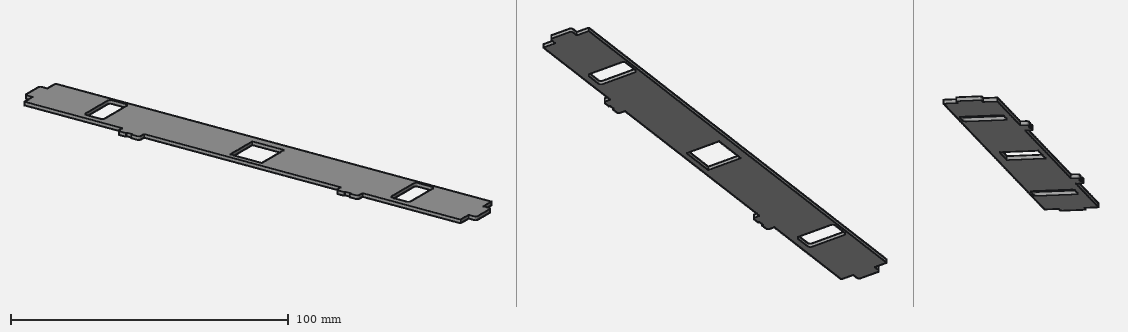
import cadquery as cq

overall_length = 196.5
thickness = 1.5
end_tab_projection = 3.3
edge_tab_projection = 3.0
body_length = overall_length - 2 * end_tab_projection
body_width = 19.8

tab_width = 9.5
tab_corner_radius = 1.0
edge_tab_offset = 47.5
notch_width = 2.4
notch_depth = 0.5

side_window_length = 8.3
side_window_width = 16.1
side_window_radius = 1.2
side_window_offset = 66.6
side_window_y = 0.8
center_window_length = 13.8
center_window_width = 14.1
center_window_y = -0.5

part_shift_y = edge_tab_projection / 2


def block(length, width, x, y):
    """Full-thickness block centered on (x, y)."""
    return cq.Workplane("XY").box(length, width, thickness).translate((x, y, 0))


def end_tab(side):
    """Rounded tab on the -X (side = -1) or +X (side = 1) end."""
    x = side * (body_length + end_tab_projection) / 2
    outer_face = ">X" if side > 0 else "<X"
    tab = block(end_tab_projection, tab_width, x, 0)
    return tab.faces(outer_face).edges("|Z").fillet(tab_corner_radius)


def edge_tab(x):
    """Rounded tab on the -Y edge with a shallow notch in its tip."""
    y = -(body_width + edge_tab_projection) / 2
    tab = block(tab_width, edge_tab_projection, x, y)
    tab = tab.faces("<Y").edges("|Z").fillet(tab_corner_radius)
    tip_y = -body_width / 2 - edge_tab_projection
    return tab.cut(block(notch_width, notch_depth, x, tip_y + notch_depth / 2))


def side_window(x):
    """Rectangular window with rounded corners."""
    window = block(side_window_length, side_window_width, x, side_window_y)
    return window.edges("|Z").fillet(side_window_radius)


plate = block(body_length, body_width, 0, 0)
for side in (-1, 1):
    plate = plate.union(end_tab(side))
    plate = plate.union(edge_tab(side * edge_tab_offset))
    plate = plate.cut(side_window(side * side_window_offset))

plate = plate.cut(block(center_window_length, center_window_width, 0, center_window_y))

result = plate.translate((0, part_shift_y, 0))